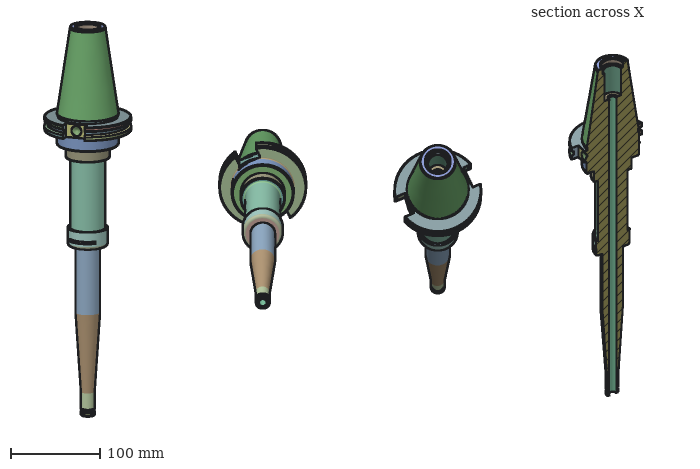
import cadquery as cq
import math

TOTAL_LENGTH = 453.0

taper_small_dia = 40.5
taper_large_dia = 70.0
taper_length = 101.5
taper_tip_chamfer_height = 2.0
taper_tip_chamfer_inset = 1.0
relief_dia = 67.5

flange_dia = 98.0
flange_top = 104.5
flange_thickness = 16.0
flange_bottom = flange_top + flange_thickness
flange_chamfer = 1.0
groove_floor_dia = 91.0
groove_width = 7.3
groove_offset = 7.5
groove_middle = flange_top + groove_offset
groove_half_angle = 30.0

slot_width = 25.5
slot_edge_chamfer = 1.0
front_floor = 37.5
back_floor = 35.0
dimple_dia = 12.0
dimple_depth = 3.5

boss_dia = 70.0
boss_end = 137.5
boss_chamfer = 1.5
ring_dia = 50.0
ring_end = 152.5
ring_chamfer = 1.0
root_fillet = 1.5
tube_dia = 40.0
collar_dia = 45.5
collar_top = 234.5
collar_end = 255.0
collar_fillet = 3.5

mark_top = 245.0
mark_height = 2.5
mark_depth = 0.5
mark_angle = 84.0

nose_dia = 28.0
nose_taper_start = 333.0
tip_dia = 16.0
nose_taper_end = 426.0
tip_neck_dia = 13.0
tip_neck_start = 445.0
tip_neck_end = 447.8
tip_chamfer = 1.5

mouth_dia = 29.0
mouth_depth = 1.5
counterbore_dia = 26.5
counterbore_depth = 7.3
seat_height = 1.5
thread_bore_dia = 21.8
thread_bore_depth = 45.5
through_dia = 9.0
through_mouth_dia = 12.0


def height(depth):
    """Z of a level given as a depth below the small end of the taper."""
    return TOTAL_LENGTH - depth


def revolve_profile(steps):
    """Solid of revolution about Z from (diameter, depth) pairs listed from the top down."""
    points = [(dia / 2, height(depth)) for dia, depth in steps]
    points = [(0, points[0][1])] + points + [(0, points[-1][1])]
    return cq.Workplane("XZ").polyline(points).close().revolve(360, (0, 0, 0), (0, 1, 0))


def taper_shank():
    tip_dia_top = taper_small_dia - 2 * taper_tip_chamfer_inset
    return revolve_profile([
        (tip_dia_top, 0),
        (taper_small_dia, taper_tip_chamfer_height),
        (taper_large_dia, taper_length),
        (relief_dia, taper_length),
        (relief_dia, flange_top),
    ])


def flange():
    rim_dia = flange_dia - 2 * flange_chamfer
    wall_run = (flange_dia - groove_floor_dia) / 2 * math.tan(math.radians(groove_half_angle))
    mouth_half = groove_width / 2
    floor_half = mouth_half - wall_run
    return revolve_profile([
        (rim_dia, flange_top),
        (flange_dia, flange_top + flange_chamfer),
        (flange_dia, groove_middle - mouth_half),
        (groove_floor_dia, groove_middle - floor_half),
        (groove_floor_dia, groove_middle + floor_half),
        (flange_dia, groove_middle + mouth_half),
        (flange_dia, flange_bottom - flange_chamfer),
        (rim_dia, flange_bottom),
    ])


def drive_slot(side, floor):
    """Cutter for one slot on the +Y (side=1) or -Y (side=-1) edge of the flange."""
    half = slot_width / 2
    rim = math.sqrt((flange_dia / 2) ** 2 - half ** 2)
    outside = flange_dia
    start = rim - slot_edge_chamfer
    flare = half + outside - start
    outline = [
        (-half, side * floor), (half, side * floor), (half, side * start),
        (flare, side * outside), (-flare, side * outside), (-half, side * start),
    ]
    return (
        cq.Workplane("XY")
        .workplane(offset=height(flange_bottom))
        .polyline(outline)
        .close()
        .extrude(flange_thickness)
    )


def dimple():
    """Conical dimple in the floor of the front slot, level with the V groove."""
    cone = cq.Solid.makeCone(
        dimple_dia / 2, 0, dimple_depth,
        pnt=cq.Vector(0, -front_floor, height(groove_middle)),
        dir=cq.Vector(0, 1, 0),
    )
    return cq.Workplane(obj=cone)


def root_fillet_ring(dia, depth):
    """Concave fillet where a cylinder meets the flat shoulder above it."""
    radius = dia / 2
    shoulder = height(depth)
    middle = root_fillet * (1 - math.sqrt(0.5))
    return (
        cq.Workplane("XZ")
        .moveTo(0, shoulder)
        .lineTo(radius + root_fillet, shoulder)
        .threePointArc((radius + middle, shoulder - middle), (radius, shoulder - root_fillet))
        .lineTo(0, shoulder - root_fillet)
        .close()
        .revolve(360, (0, 0, 0), (0, 1, 0))
    )


def stepped_body():
    body = revolve_profile([
        (boss_dia, flange_bottom),
        (boss_dia, boss_end - boss_chamfer),
        (boss_dia - 2 * boss_chamfer, boss_end),
        (ring_dia, boss_end),
        (ring_dia, ring_end - ring_chamfer),
        (ring_dia - 2 * ring_chamfer, ring_end),
        (tube_dia, ring_end),
        (tube_dia, collar_top),
    ])
    return body.union(root_fillet_ring(boss_dia, flange_bottom)).union(root_fillet_ring(tube_dia, ring_end))


def collar():
    length = collar_end - collar_top
    body = cq.Workplane("XY").workplane(offset=height(collar_end)).circle(collar_dia / 2).extrude(length)
    return body.faces("<Z").edges().fillet(collar_fillet)


def marking_groove():
    """Part-turn groove cutter centred on -Y."""
    outer = collar_dia / 2 + mark_depth
    inner = collar_dia / 2 - mark_depth
    section = (
        cq.Workplane("XZ")
        .moveTo((outer + inner) / 2, height(mark_top + mark_height / 2))
        .rect(outer - inner, mark_height)
    )
    groove = section.revolve(mark_angle, (0, 0, 0), (0, 1, 0))
    return groove.rotate((0, 0, 0), (0, 0, 1), -90 - mark_angle / 2)


def nose():
    return revolve_profile([
        (nose_dia, collar_end),
        (nose_dia, nose_taper_start),
        (tip_dia, nose_taper_end),
        (tip_dia, tip_neck_start),
        (tip_neck_dia, tip_neck_start),
        (tip_neck_dia, tip_neck_end),
        (tip_dia, tip_neck_end + tip_chamfer),
        (tip_dia, TOTAL_LENGTH - tip_chamfer),
        (tip_dia - 2 * tip_chamfer, TOTAL_LENGTH),
    ])


def axial_bore():
    return revolve_profile([
        (mouth_dia, 0),
        (counterbore_dia, mouth_depth),
        (counterbore_dia, counterbore_depth),
        (thread_bore_dia, counterbore_depth + seat_height),
        (thread_bore_dia, thread_bore_depth),
        (through_mouth_dia, thread_bore_depth),
        (through_dia, thread_bore_depth + (through_mouth_dia - through_dia) / 2),
        (through_dia, TOTAL_LENGTH),
    ])


slotted_flange = flange().cut(drive_slot(-1, front_floor)).cut(drive_slot(1, back_floor)).cut(dimple())
marked_collar = collar().cut(marking_groove())

result = taper_shank().union(slotted_flange).union(stepped_body()).union(marked_collar).union(nose())
result = result.cut(axial_bore())